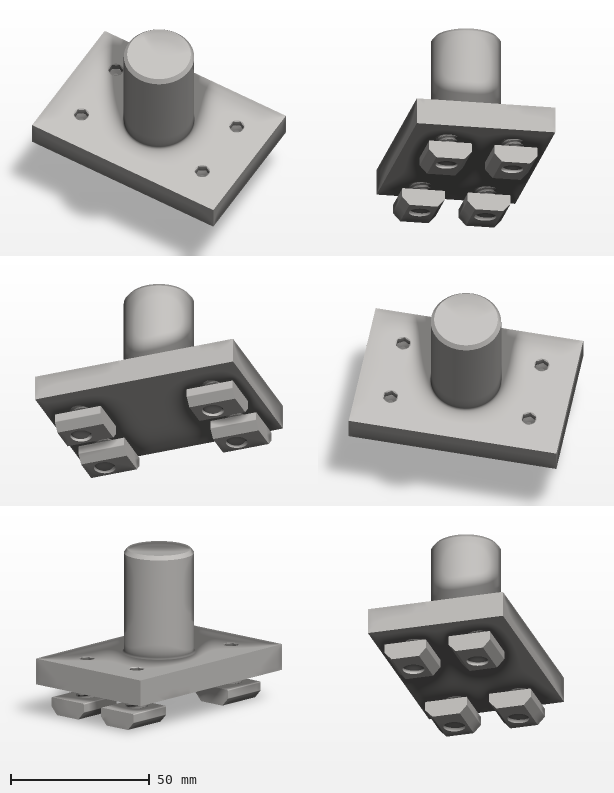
import cadquery as cq
import math

PLATE_LENGTH = 76.2
PLATE_WIDTH = 50.8
PLATE_THICKNESS = 9.5
POST_RADIUS = PLATE_LENGTH / 6
POST_HEIGHT = 38.1
POST_CHAMFER_WIDTH = 1.2
POST_CHAMFER_HEIGHT = 1.45
POST_FOOT_FILLET = 0.7

SCREW_X = PLATE_LENGTH / 3
SCREW_Y = 12.05
SCREW_LENGTH = 19.05
HEAD_RADIUS = 8.3
HEAD_HEIGHT = 5.0
THREAD_RADIUS = 4.0
ROOT_RADIUS = 3.2
FLANK_RADIUS = (THREAD_RADIUS + ROOT_RADIUS) / 2
CREST_SHARE = 1 / 8
ROOT_SHARE = 1 / 4
THREAD_STARTS = 2
THREAD_LEAD = 2.8
THREAD_PHASE = 116.0
THREAD_LENGTH = SCREW_LENGTH - PLATE_THICKNESS

SOCKET_FLATS = 4.7
SOCKET_CORNERS = SOCKET_FLATS / math.cos(math.pi / 6)
SOCKET_DEPTH = 2.5
SOCKET_TURN = 30.0
SOCKET_RIM_RADIUS = 2.8
SOCKET_RIM_DEPTH = 0.4
SOCKET_FLOOR_RADIUS = 1.0
SOCKET_CONE_HEIGHT = 0.9

NUT_GAP = 4.3
NUT_LENGTH = 17.6
NUT_WIDTH = 15.8
NUT_HEIGHT = 6.25
NUT_BOTTOM_WIDTH = 10.3
NUT_SIDE_HEIGHT = 3.3
NUT_EDGE_FILLET = 0.4
NUT_OFFSET_X = -1.6

screw_places = [(sx * SCREW_X, sy * SCREW_Y) for sx in (-1, 1) for sy in (-1, 1)]


def cone(radius_bottom, radius_top, z_bottom, height):
    """Upright truncated cone on the Z axis."""
    return cq.Workplane(cq.Solid.makeCone(radius_bottom, radius_top, height, cq.Vector(0, 0, z_bottom)))


def screw_head_and_shank():
    """Smooth part of a screw, which fills its countersunk hole in the plate."""
    shank = cq.Workplane().circle(THREAD_RADIUS).extrude(PLATE_THICKNESS)
    head = cone(THREAD_RADIUS, HEAD_RADIUS, PLATE_THICKNESS - HEAD_HEIGHT, HEAD_HEIGHT)
    return shank.union(head)


def thread_outline():
    """Section across the thread: for each start a crest arc, a flank, a root arc and a flank."""
    start_angle = 2 * math.pi / THREAD_STARTS
    crest_half = start_angle * CREST_SHARE / 2
    root_half = start_angle * ROOT_SHARE / 2
    flank_middle = (crest_half + start_angle / 2 - root_half) / 2

    def point(radius, angle):
        return (radius * math.cos(angle), radius * math.sin(angle))

    outline = cq.Workplane().moveTo(*point(THREAD_RADIUS, -crest_half))
    for start in range(THREAD_STARTS):
        crest = start * start_angle
        root = crest + start_angle / 2
        next_crest = crest + start_angle
        outline = (
            outline.threePointArc(point(THREAD_RADIUS, crest), point(THREAD_RADIUS, crest + crest_half))
            .threePointArc(point(FLANK_RADIUS, crest + flank_middle), point(ROOT_RADIUS, root - root_half))
            .threePointArc(point(ROOT_RADIUS, root), point(ROOT_RADIUS, root + root_half))
            .threePointArc(
                point(FLANK_RADIUS, next_crest - flank_middle), point(THREAD_RADIUS, next_crest - crest_half)
            )
        )
    return outline.close()


def thread():
    """Right-hand thread below the plate, whose section turns once per lead."""
    turns = THREAD_LENGTH / THREAD_LEAD
    rod = thread_outline().twistExtrude(THREAD_LENGTH, 360 * turns)
    return rod.rotate((0, 0, 0), (0, 0, 1), THREAD_PHASE).translate((0, 0, -THREAD_LENGTH))


def drive_socket():
    """Hexagonal recess with a flared rim and a conical floor."""
    floor = PLATE_THICKNESS - SOCKET_DEPTH
    hexagon = cq.Workplane(origin=(0, 0, floor)).polygon(6, SOCKET_CORNERS).extrude(SOCKET_DEPTH)
    hexagon = hexagon.rotate((0, 0, 0), (0, 0, 1), SOCKET_TURN)
    rim = cone(SOCKET_FLATS / 2, SOCKET_RIM_RADIUS, PLATE_THICKNESS - SOCKET_RIM_DEPTH, SOCKET_RIM_DEPTH)
    tip = cone(SOCKET_FLOOR_RADIUS, SOCKET_FLATS / 2, floor - SOCKET_CONE_HEIGHT, SOCKET_CONE_HEIGHT)
    return hexagon.union(rim).union(tip)


def make_mount():
    """Plate with its post and four countersunk screw holes."""
    plate = cq.Workplane().box(PLATE_LENGTH, PLATE_WIDTH, PLATE_THICKNESS, centered=(True, True, False))
    profile = (
        cq.Workplane("XZ")
        .lineTo(POST_RADIUS, 0)
        .lineTo(POST_RADIUS, PLATE_THICKNESS + POST_HEIGHT - POST_CHAMFER_HEIGHT)
        .lineTo(POST_RADIUS - POST_CHAMFER_WIDTH, PLATE_THICKNESS + POST_HEIGHT)
        .lineTo(0, PLATE_THICKNESS + POST_HEIGHT)
        .close()
    )
    mount = plate.union(profile.revolve(360, (0, 0), (0, 1)))
    foot = cq.NearestToPointSelector((0, 0, PLATE_THICKNESS))
    mount = mount.edges("%CIRCLE").edges(foot).fillet(POST_FOOT_FILLET)
    for x, y in screw_places:
        mount = mount.cut(screw_head_and_shank().translate((x, y, 0)))
    return mount


def make_screw():
    """Flat-head screw on the Z axis."""
    screw = screw_head_and_shank().cut(drive_socket())
    return screw.union(thread())


def make_nut():
    """Slot nut with sloped lower sides and a hole through it on the Z axis."""
    half = NUT_WIDTH / 2
    half_bottom = NUT_BOTTOM_WIDTH / 2
    top = -NUT_GAP
    slope_top = top - NUT_SIDE_HEIGHT
    bottom = top - NUT_HEIGHT
    block = (
        cq.Workplane("YZ")
        .polyline([
            (half, top), (half, slope_top), (half_bottom, bottom),
            (-half_bottom, bottom), (-half, slope_top), (-half, top),
        ])
        .close()
        .extrude(NUT_LENGTH / 2, both=True)
        .translate((NUT_OFFSET_X, 0, 0))
        .edges("|X and (not <Z)")
        .fillet(NUT_EDGE_FILLET)
    )
    hole = cq.Workplane(origin=(0, 0, bottom)).circle(THREAD_RADIUS).extrude(NUT_HEIGHT)
    return block.cut(hole)


mount = make_mount()
screw = make_screw()
nut = make_nut()
screws = [screw.translate((x, y, 0)) for x, y in screw_places]
nuts = [nut.translate((x, y, 0)) for x, y in screw_places]

result = cq.Compound.makeCompound(
    [mount.val()] + [body.val() for body in screws] + [body.val() for body in nuts]
)